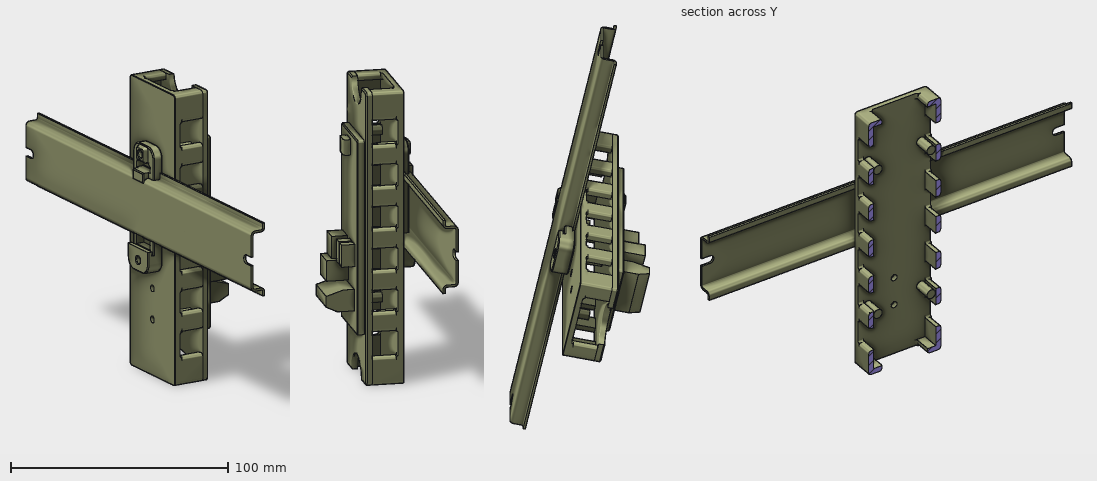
import cadquery as cq


HOUSING_WIDTH = 40.0
HOUSING_LENGTH = 140.0
TRAY_DEPTH = 15.0
WALL = 3.0
FLOOR = 2.8
FRONT_CHAMFER = 0.25
CORNER_RADIUS = 1.6
WINDOW_EDGE_RADIUS = 1.5
WINDOW_CORNER_RADIUS = 0.9
SIDE_WINDOWS = {10.0: 10.6, 30.0: 10.6, 50.5: 12.0}
END_WINDOW_WIDTH = 25.0
POST_DIAMETER = 4.7
POST_END = 11.5
POST_X = 14.7
POST_HEIGHTS = (-37.7, 42.3)
MOUNT_HOLE_DIAMETER = 3.2
MOUNT_HOLE_HEIGHTS = (-28.0, -43.0)

LID_THICKNESS = 3.0
LID_CHAMFER = 0.6
SCALLOP_ROUND = 0.5
SCALLOP_RADIUS = 10.0
LID_BACK = TRAY_DEPTH + LID_THICKNESS

MODULE_WIDTH = 33.2
MODULE_LENGTH = 93.0
MODULE_THICKNESS = 3.4
MODULE_CORNER_RADIUS = 1.2
MODULE_CHAMFER = 0.5
MODULE_BACK = LID_BACK + MODULE_THICKNESS
PLUG_BACK = 34.62
PLUG_WIDTH = 21.2
PLUG_BOTTOM = -36.3
PLUG_TOP = -26.0
PLUG_TIP_BOTTOM = -33.8
PLUG_TIP_TOP = -28.6
PLUG_LOWER_SHOULDER = 29.4
PLUG_UPPER_SHOULDER = 26.6
MODULE_BLOCKS = (
    (1.4, 14.2, -24.8, -15.0, 31.8),
    (3.8, 13.8, -14.8, -4.2, 28.8),
    (-11.8, -7.6, -14.8, -4.2, 27.6),
    (-5.8, -1.0, -14.8, -4.2, 27.6),
    (-7.6, 3.8, -14.8, -10.0, 26.0),
)
SOCKET_WIDTH = 8.6
SOCKET_HEIGHT = 3.5
SOCKET_CHAMFER = 0.8
SOCKET_BOTTOM = 36.4
SOCKET_TOP = 43.8

RAIL_LENGTH = 200.0
RAIL_MIDDLE_Z = 12.5
RAIL_HEIGHT = 35.0
RAIL_HAT_HEIGHT = 29.1
RAIL_DEPTH = 7.3
RAIL_SHEET = 1.1
RAIL_GAP = 0.2
RAIL_OUTER_BEND = 2.2
RAIL_INNER_BEND = 0.8
RAIL_SLOT_WIDTH = 4.2
RAIL_SLOT_LENGTH = 6.6

CLIP_WIDTH = 18.0
CLIP_TOP = 42.0
CLIP_BOTTOM = -18.6
CLIP_THICKNESS = 4.9
CLIP_CORNER_RADIUS = 5.2
CLIP_CHAMFER = 0.5
CLIP_REACH = 7.85
FOOT_TOP = -7.2
FOOT_GROOVE_DEPTH = 2.0
FOOT_GROOVE_FRONT = 5.7
BOSS_Z = 37.7
BOSS_BASE = 8.4
BOSS_TAPER = 36.0
BOSS_FACE_Y = 6.8
SCREW_HOLE = 3.5
SCREW_HOLE_MOUTH = 4.4
FOOT_HOLE_Z = -13.1
BOSS_CORNER_RADIUS = 2.0
POCKET_WIDTH = 12.0
POCKET_TOP = 34.2
POCKET_FLOOR = 0.9
POCKET_CHAMFER = 1.6
HOOK_WIDTH = 9.4
HOOK_TOP = 29.8
HOOK_CHAMFER = 0.5
HOOK_TIP = 24.7


def box(x0, x1, y0, y1, z0, z1):
    """Box between two opposite corners."""
    return cq.Workplane("XY").box(x1 - x0, y1 - y0, z1 - z0, centered=False).translate((x0, y0, z0))


def plate(width, z0, z1, y0, y1):
    """Box centred on X."""
    return box(-width / 2, width / 2, y0, y1, z0, z1)


def rod(x, z, diameter, y0, y1):
    """Cylinder along Y."""
    return cq.Workplane("XZ", origin=(x, y0, z)).circle(diameter / 2).extrude(y0 - y1)


def flared_window(clear):
    """Opening along local +X through the wall, flaring outward with rounded edges.

    It is centred on the local origin, the wall's outside is at x = 0 and it runs from the
    tray floor to the lid.
    """
    half = clear / 2
    r = WINDOW_EDGE_RADIUS
    through = box(0, WALL, FLOOR, TRAY_DEPTH, -half, half)
    through = through.edges("|X and <Y").fillet(WINDOW_CORNER_RADIUS)
    flare = (
        cq.Workplane("XZ", origin=(0, FLOOR + WINDOW_CORNER_RADIUS, 0))
        .moveTo(0, -half - r)
        .radiusArc((r, -half), r)
        .lineTo(r, half)
        .radiusArc((0, half + r), r)
        .close()
        .extrude(FLOOR + WINDOW_CORNER_RADIUS - TRAY_DEPTH)
    )
    return through.union(flare)


def make_housing():
    length = HOUSING_LENGTH
    tray = plate(HOUSING_WIDTH, -length / 2, length / 2, 0, TRAY_DEPTH).edges("|Y").fillet(CORNER_RADIUS)
    tray = tray.faces("<Y").chamfer(FRONT_CHAMFER)
    tray = tray.cut(
        plate(HOUSING_WIDTH - 2 * WALL, WALL - length / 2, length / 2 - WALL, FLOOR, TRAY_DEPTH)
    )
    for height, clear in SIDE_WINDOWS.items():
        window = flared_window(clear).translate((-HOUSING_WIDTH / 2, 0, 0))
        for side in (window, window.mirror("YZ")):
            tray = tray.cut(side.translate((0, 0, height)))
            tray = tray.cut(side.translate((0, 0, -height)))
    end_window = flared_window(END_WINDOW_WIDTH).rotate((0, 0, 0), (0, 1, 0), 90)
    end_window = end_window.translate((0, 0, length / 2))
    tray = tray.cut(end_window).cut(end_window.mirror("XY"))
    for x in (-POST_X, POST_X):
        for z in POST_HEIGHTS:
            tray = tray.union(rod(x, z, POST_DIAMETER, FLOOR, POST_END))
    for z in MOUNT_HOLE_HEIGHTS:
        tray = tray.cut(rod(0, z, MOUNT_HOLE_DIAMETER, 0, FLOOR))
    return tray


def make_lid():
    half = HOUSING_LENGTH / 2
    lid = plate(HOUSING_WIDTH, -half, half, TRAY_DEPTH, LID_BACK).edges("|Y").fillet(CORNER_RADIUS)
    lid = lid.faces(">Y").chamfer(LID_CHAMFER)
    for z in (-half, half):
        lid = lid.cut(rod(0, z, 2 * SCALLOP_RADIUS, TRAY_DEPTH, LID_BACK))
    arcs = lid.edges("%CIRCLE and (<Y or >Y)")
    scallop_edges = arcs.edges(cq.selectors.RadiusNthSelector(-1))
    return scallop_edges.fillet(SCALLOP_ROUND)


def make_module():
    half = MODULE_LENGTH / 2
    module = plate(MODULE_WIDTH, -half, half, LID_BACK, MODULE_BACK)
    module = module.edges("|Y").fillet(MODULE_CORNER_RADIUS).faces(">Y").chamfer(MODULE_CHAMFER)
    for x0, x1, z0, z1, back in MODULE_BLOCKS:
        module = module.union(box(x0, x1, MODULE_BACK, back, z0, z1))
    plug = (
        cq.Workplane("YZ", origin=(-PLUG_WIDTH / 2, 0, 0))
        .polyline(
            [
                (MODULE_BACK, PLUG_BOTTOM),
                (PLUG_LOWER_SHOULDER, PLUG_BOTTOM),
                (PLUG_BACK, PLUG_TIP_BOTTOM),
                (PLUG_BACK, PLUG_TIP_TOP),
                (PLUG_UPPER_SHOULDER, PLUG_TOP),
                (MODULE_BACK, PLUG_TOP),
            ]
        )
        .close()
        .extrude(PLUG_WIDTH)
    )
    socket_back = MODULE_BACK + SOCKET_HEIGHT
    half_width = SOCKET_WIDTH / 2
    half_height = SOCKET_HEIGHT / 2
    socket = (
        cq.Workplane("XY", origin=(0, 0, SOCKET_BOTTOM))
        .moveTo(half_height - half_width, MODULE_BACK)
        .threePointArc((-half_width, MODULE_BACK + half_height), (half_height - half_width, socket_back))
        .lineTo(half_width - SOCKET_CHAMFER, socket_back)
        .lineTo(half_width, socket_back - SOCKET_CHAMFER)
        .lineTo(half_width, MODULE_BACK + SOCKET_CHAMFER)
        .lineTo(half_width - SOCKET_CHAMFER, MODULE_BACK)
        .close()
        .extrude(SOCKET_TOP - SOCKET_BOTTOM)
    )
    return module.union(plug).union(socket)


def make_rail():
    back = -RAIL_GAP
    front = back - RAIL_DEPTH
    lip = RAIL_HEIGHT / 2
    hat = RAIL_HAT_HEIGHT / 2
    t = RAIL_SHEET
    rail = (
        cq.Workplane("YZ", origin=(-RAIL_LENGTH / 2, 0, RAIL_MIDDLE_Z))
        .polyline(
            [
                (back, lip), (back - t, lip), (back - t, hat), (front, hat),
                (front, -hat), (back - t, -hat), (back - t, -lip), (back, -lip),
                (back, t - hat), (front + t, t - hat), (front + t, hat - t), (back, hat - t),
            ]
        )
        .close()
        .extrude(RAIL_LENGTH)
    )

    def bend(solid, y, z, radius):
        for side in (-1, 1):
            height = RAIL_MIDDLE_Z + side * z
            solid = solid.edges(cq.selectors.NearestToPointSelector((0, y, height))).fillet(radius)
        return solid

    rail = bend(rail, front, hat, RAIL_OUTER_BEND)
    rail = bend(rail, front + t, hat - t, RAIL_INNER_BEND)
    rail = bend(rail, back, hat - t, RAIL_OUTER_BEND)
    rail = bend(rail, back - t, hat, RAIL_INNER_BEND)
    for side in (-1, 1):
        slot = (
            cq.Workplane("XZ", origin=(side * RAIL_LENGTH / 2, back, RAIL_MIDDLE_Z))
            .slot2D(2 * RAIL_SLOT_LENGTH, RAIL_SLOT_WIDTH)
            .extrude(RAIL_DEPTH)
        )
        rail = rail.cut(slot)
    return rail


def screw_hole(z, front):
    """Through hole along Y with a small countersink at its front."""
    countersink = cq.Solid.makeCone(
        SCREW_HOLE_MOUTH / 2,
        SCREW_HOLE / 2,
        (SCREW_HOLE_MOUTH - SCREW_HOLE) / 2,
        pnt=cq.Vector(0, front, z),
        dir=cq.Vector(0, 1, 0),
    )
    return rod(0, z, SCREW_HOLE, front, 0).union(cq.Workplane(countersink))


def make_clip(rail):
    clip = plate(CLIP_WIDTH, CLIP_BOTTOM, CLIP_TOP, -CLIP_THICKNESS, 0)
    clip = clip.union(plate(CLIP_WIDTH, CLIP_BOTTOM, FOOT_TOP, -CLIP_REACH, 0))
    clip = clip.cut(
        plate(CLIP_WIDTH, FOOT_TOP - FOOT_GROOVE_DEPTH, FOOT_TOP, -FOOT_GROOVE_FRONT, -CLIP_THICKNESS)
    )
    clip = clip.edges("|Y and (<Z or >Z)").fillet(CLIP_CORNER_RADIUS)
    clip = clip.faces("<Y").edges("<Z or %CIRCLE").chamfer(CLIP_CHAMFER)
    top_face = clip.faces(cq.selectors.NearestToPointSelector((0, -CLIP_THICKNESS, BOSS_Z)))
    clip = top_face.edges(">Z or %CIRCLE").chamfer(CLIP_CHAMFER)
    boss = (
        cq.Workplane("XZ", origin=(0, -CLIP_THICKNESS, BOSS_Z))
        .sketch()
        .rect(BOSS_BASE, BOSS_BASE)
        .vertices()
        .fillet(BOSS_CORNER_RADIUS)
        .finalize()
        .extrude(BOSS_FACE_Y - CLIP_THICKNESS, taper=BOSS_TAPER)
    )
    clip = clip.union(boss)
    upper_pocket = plate(POCKET_WIDTH, HOOK_TOP, POCKET_TOP, -CLIP_THICKNESS, -POCKET_FLOOR)
    upper_pocket = upper_pocket.edges("|Y and >Z").chamfer(POCKET_CHAMFER)
    lower_pocket = plate(POCKET_WIDTH, FOOT_TOP, RAIL_MIDDLE_Z, -CLIP_THICKNESS, -POCKET_FLOOR)
    hook = plate(HOOK_WIDTH, HOOK_TIP, HOOK_TOP, -CLIP_REACH, -POCKET_FLOOR)
    hook = hook.faces("<Y").chamfer(HOOK_CHAMFER)
    clip = clip.cut(upper_pocket).cut(lower_pocket).union(hook)
    clip = clip.cut(screw_hole(BOSS_Z, -BOSS_FACE_Y)).cut(screw_hole(FOOT_HOLE_Z, -CLIP_REACH))
    return clip.cut(rail)


housing = make_housing()
lid = make_lid()
module = make_module()
rail = make_rail()
clip = make_clip(rail)

result = cq.Compound.makeCompound([housing.val(), lid.val(), module.val(), rail.val(), clip.val()])